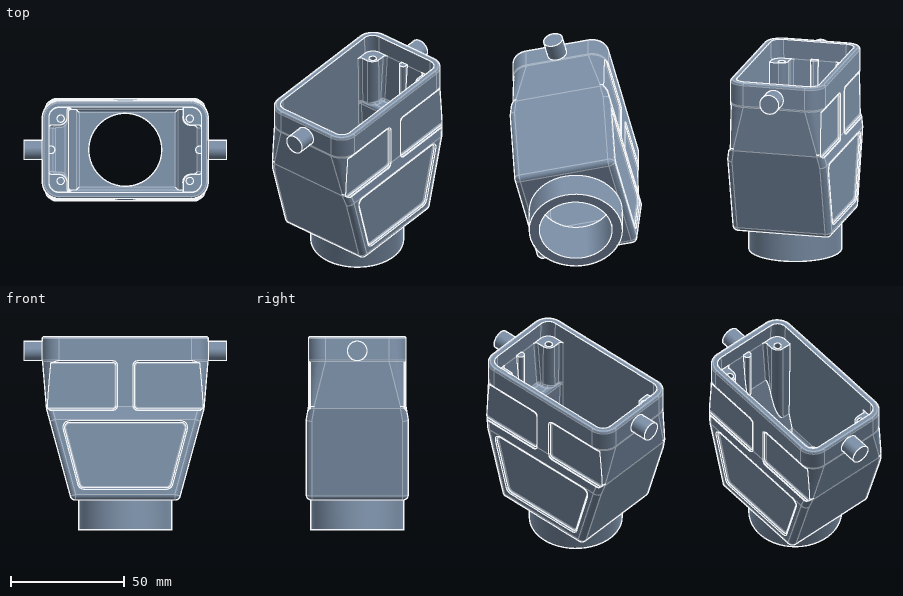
import cadquery as cq
import math

TOTAL_HEIGHT = 85.1
NECK_HEIGHT = 13.1
FLOOR_Z = 21.3
BULGE_Z = 48.6
KINK_Z = 53.4
SHOULDER_Z = 54.3
COLLAR_Z = 74.2
COLLAR_STEP = 0.6
POST_TOP_Z = 76.5

COLLAR_HALF_X = 36.6
COLLAR_HALF_Y = 21.5
COLLAR_RADIUS = 7.5
COLLAR_OVERHANG = 0.15
KINK_HALF_X = 34.7
BOTTOM_HALF_X = 23.7
BODY_HALF_Y = 22.5
BODY_FILLET = 2.5
RIM_FILLET = 0.9

NECK_DIAMETER = 41.0
NECK_OVERLAP = 1.0
BORE_DIAMETER = 32.0
PEG_DIAMETER = 8.6
PEG_SPAN = 89.2
PEG_Z = 78.8

RECESS_DEPTH = 1.0
RECESS_DRAFT = 15.0
RECESS_RIM_DEPTH = 0.45
RECESS_RIM_RUN = 0.7
RECESS_FLOOR_FILLET = 0.45
WINDOW_HALF_GAP = 3.4
WINDOW_TOP_Z = 74.5
WINDOW_BOTTOM_Z = 52.6
WINDOW_RADIUS = 2.2
PANEL_TOP_Z = 48.1
PANEL_BOTTOM_Z = 17.9
PANEL_TOP_HALF_X = 28.3
PANEL_BOTTOM_HALF_X = 20.3
PANEL_RADIUS = 3.0

MOUTH_HALF_X = 33.6
MOUTH_HALF_Y = 18.8
MOUTH_RADIUS = 4.5
FLOOR_HALF_Y = 17.6
POCKET_HALF_X = 31.6
LEDGE_WALL_X = 24.9
LEDGE_FLOOR_X = 21.2
FOOT_FILLET = 1.3
LEDGE_INNER_FILLET = 1.0
LEDGE_OUTER_FILLET = 1.6

POST_INNER_X = 25.6
POST_INNER_Y = 10.9
POST_RADIUS = 3.5
POST_WALL_FILLET = 1.3
POST_DRAFT = 0.4
SCREW_X = 28.4
SCREW_Y = 13.7
SCREW_DIAMETER = 3.2
SCREW_DEPTH = 12.0
RIB_TIP_X = 31.0
RIB_HALF_WIDTH = 1.6
RIB_NOSE_RADIUS = 1.5
RIB_TOP_Z = 77.0

END_SLOPE = (KINK_HALF_X - BOTTOM_HALF_X) / (KINK_Z - NECK_HEIGHT)
UPPER_HALF_X = COLLAR_HALF_X - COLLAR_OVERHANG
UPPER_SLOPE = (UPPER_HALF_X - KINK_HALF_X) / (COLLAR_Z - KINK_Z)
SHOULDER_HALF_X = KINK_HALF_X + UPPER_SLOPE * (SHOULDER_Z - KINK_Z)
UPPER_HALF_Y = COLLAR_HALF_Y


def rounded_rect(half_x, half_y, radius, z):
    """Sketch of a rounded rectangle centred on the Z axis."""
    sketch = cq.Sketch().rect(2 * half_x, 2 * half_y).vertices().fillet(radius)
    return sketch.moved(cq.Location(cq.Vector(0, 0, z)))


def ruled_between(lower, upper):
    return cq.Workplane("XY").placeSketch(lower, upper).loft(ruled=True)


def prism_along_y(points, half_length):
    return cq.Workplane("XZ").polyline(points).close().extrude(half_length, both=True)


def prism_along_x(points, half_length):
    return cq.Workplane("YZ").polyline(points).close().extrude(half_length, both=True)


def mirrored(points):
    """Right-hand outline points joined to their mirror image."""
    return points + [(-a, b) for a, b in reversed(points)]


def make_lower_body():
    ends = prism_along_y(
        mirrored([(BOTTOM_HALF_X, NECK_HEIGHT), (KINK_HALF_X, KINK_Z), (SHOULDER_HALF_X, SHOULDER_Z)]),
        BODY_HALF_Y,
    )
    sides = prism_along_x(
        mirrored([(BODY_HALF_Y, NECK_HEIGHT), (BODY_HALF_Y, BULGE_Z), (UPPER_HALF_Y, SHOULDER_Z)]),
        COLLAR_HALF_X,
    )
    body = ends.intersect(sides)
    upright = body.edges("not(#Z)")
    return upright.add(body.edges("<Z")).fillet(BODY_FILLET)


def make_upper_body():
    return ruled_between(
        rounded_rect(SHOULDER_HALF_X, UPPER_HALF_Y, BODY_FILLET, SHOULDER_Z),
        rounded_rect(UPPER_HALF_X, UPPER_HALF_Y, COLLAR_RADIUS, COLLAR_Z),
    )


def make_collar():
    step_top = COLLAR_Z + COLLAR_STEP
    step = ruled_between(
        rounded_rect(UPPER_HALF_X, UPPER_HALF_Y, COLLAR_RADIUS, COLLAR_Z),
        rounded_rect(COLLAR_HALF_X, COLLAR_HALF_Y, COLLAR_RADIUS, step_top),
    )
    band = (
        cq.Workplane("XY", origin=(0, 0, step_top))
        .placeSketch(rounded_rect(COLLAR_HALF_X, COLLAR_HALF_Y, COLLAR_RADIUS, 0))
        .extrude(TOTAL_HEIGHT - step_top)
        .faces(">Z")
        .edges()
        .fillet(RIM_FILLET)
    )
    return step.union(band)


def make_neck():
    return cq.Workplane("XY").circle(NECK_DIAMETER / 2).extrude(NECK_HEIGHT + NECK_OVERLAP)


def make_pegs():
    return cq.Workplane("YZ").center(0, PEG_Z).circle(PEG_DIAMETER / 2).extrude(PEG_SPAN / 2, both=True)


def recess_cutter(outline, wall_y, radius):
    """Recess in the -Y wall: rounded corners, eased rim, drafted walls, filleted floor edge."""
    wall_plane = cq.Workplane("XZ", origin=(0, -wall_y, 0))
    rim_outline = cq.Sketch().polygon(outline + outline[:1]).vertices().fillet(radius)
    opening = wall_plane.placeSketch(rim_outline).extrude(BODY_FILLET)
    rim = wall_plane.placeSketch(rim_outline).extrude(
        -RECESS_RIM_DEPTH, taper=math.degrees(math.atan2(RECESS_RIM_RUN, RECESS_RIM_DEPTH))
    )
    hollow = (
        rim.faces(">Y")
        .wires()
        .toPending()
        .workplane()
        .extrude(RECESS_DEPTH - RECESS_RIM_DEPTH, taper=RECESS_DRAFT, combine=False)
        .faces(">Y")
        .edges()
        .fillet(RECESS_FLOOR_FILLET)
    )
    return opening.union(rim).union(hollow)


def cut_on_both_long_walls(body, cutter):
    return body.cut(cutter).cut(cutter.mirror("XZ"))


def cut_panels(body):
    outline = mirrored([(PANEL_BOTTOM_HALF_X, PANEL_BOTTOM_Z), (PANEL_TOP_HALF_X, PANEL_TOP_Z)])
    return cut_on_both_long_walls(body, recess_cutter(outline, BODY_HALF_Y, PANEL_RADIUS))


def cut_windows(body):
    """Windows run out through the rounded corners of the upper body."""
    outer_x = COLLAR_HALF_X + COLLAR_RADIUS
    outline = [
        (WINDOW_HALF_GAP, WINDOW_BOTTOM_Z),
        (outer_x, WINDOW_BOTTOM_Z),
        (outer_x, WINDOW_TOP_Z),
        (WINDOW_HALF_GAP, WINDOW_TOP_Z),
    ]
    cutter = recess_cutter(outline, UPPER_HALF_Y, WINDOW_RADIUS)
    body = cut_on_both_long_walls(body, cutter)
    return cut_on_both_long_walls(body, cutter.mirror("YZ"))


def make_drafted_sides():
    outline = mirrored([(FLOOR_HALF_Y, FLOOR_Z), (MOUTH_HALF_Y, TOTAL_HEIGHT)])
    return prism_along_x(outline, COLLAR_HALF_X)


def make_mouth():
    block = (
        cq.Workplane("XY", origin=(0, 0, POST_TOP_Z))
        .rect(2 * MOUTH_HALF_X, 2 * COLLAR_HALF_Y)
        .extrude(TOTAL_HEIGHT - POST_TOP_Z)
    )
    return block.intersect(make_drafted_sides()).edges("not(#Z)").fillet(MOUTH_RADIUS)


def edge_nearest(body, x, y, z):
    return body.edges(cq.selectors.NearestToPointSelector((x, y, z)))


def make_well():
    """Cavity below the mouth, before the posts and ribs are left standing."""
    right_foot_x = POCKET_HALF_X - END_SLOPE * (KINK_Z - FLOOR_Z)
    ledge_turn_z = FLOOR_Z + (LEDGE_WALL_X - LEDGE_FLOOR_X) / END_SLOPE
    ends = prism_along_y(
        [
            (right_foot_x, FLOOR_Z),
            (POCKET_HALF_X, KINK_Z),
            (MOUTH_HALF_X, POST_TOP_Z),
            (-MOUTH_HALF_X, POST_TOP_Z),
            (-POCKET_HALF_X, KINK_Z),
            (-LEDGE_WALL_X, KINK_Z),
            (-LEDGE_WALL_X, ledge_turn_z),
            (-LEDGE_FLOOR_X, FLOOR_Z),
        ],
        BODY_HALF_Y,
    )
    ends = edge_nearest(ends, -LEDGE_WALL_X, 0, KINK_Z).fillet(LEDGE_OUTER_FILLET)
    return ends.intersect(make_drafted_sides())


def make_post(sign_x, sign_y):
    """Corner post, buried in the walls on its outer sides."""
    size_x = 2 * (COLLAR_HALF_X - POST_INNER_X)
    size_y = 2 * (COLLAR_HALF_Y - POST_INNER_Y)
    return (
        cq.Workplane("XY", origin=(sign_x * COLLAR_HALF_X, sign_y * COLLAR_HALF_Y, POST_TOP_Z))
        .placeSketch(cq.Sketch().rect(size_x, size_y).vertices().fillet(POST_RADIUS))
        .extrude(FLOOR_Z - POST_TOP_Z, taper=-POST_DRAFT)
    )


def fillet_posts_to_walls(cavity):
    """Round the inside corners between the posts and the cavity walls."""
    middle_z = (POST_TOP_Z + KINK_Z) / 2
    wall_x = (MOUTH_HALF_X + POCKET_HALF_X) / 2
    corners = cavity.newObject([])
    for sign_y in (-1, 1):
        for sign_x in (-1, 1):
            at_long_wall = edge_nearest(cavity, sign_x * POST_INNER_X, sign_y * MOUTH_HALF_Y, middle_z)
            at_end_wall = edge_nearest(cavity, sign_x * wall_x, sign_y * POST_INNER_Y, middle_z)
            corners = corners.add(at_long_wall).add(at_end_wall)
    return corners.fillet(POST_WALL_FILLET)


def make_rib(sign_x):
    height = RIB_TOP_Z - FLOOR_Z
    center_x = RIB_TIP_X + RIB_HALF_WIDTH
    inner_side = "<X" if sign_x > 0 else ">X"
    return (
        cq.Workplane("XY", origin=(sign_x * center_x, 0, FLOOR_Z))
        .rect(2 * RIB_HALF_WIDTH, 2 * RIB_HALF_WIDTH)
        .extrude(height)
        .edges("|Z")
        .edges(inner_side)
        .fillet(RIB_NOSE_RADIUS)
    )


def make_cavity():
    cavity = make_well()
    for sign_x in (-1, 1):
        for sign_y in (-1, 1):
            cavity = cavity.cut(make_post(sign_x, sign_y))
    cavity = fillet_posts_to_walls(cavity)
    cavity = edge_nearest(cavity, -POCKET_HALF_X, 0, KINK_Z).fillet(LEDGE_INNER_FILLET)
    cavity = cavity.faces("<Z").edges().fillet(FOOT_FILLET)
    cavity = cavity.union(make_mouth())
    for sign_x in (-1, 1):
        cavity = cavity.cut(make_rib(sign_x))
    return cavity


def cut_screw_holes(body):
    return body.cut(
        cq.Workplane("XY", origin=(0, 0, POST_TOP_Z))
        .rect(2 * SCREW_X, 2 * SCREW_Y, forConstruction=True)
        .vertices()
        .circle(SCREW_DIAMETER / 2)
        .extrude(-SCREW_DEPTH)
    )


def make_hood():
    body = make_lower_body().union(make_upper_body()).union(make_collar())
    body = cut_panels(body)
    body = cut_windows(body)
    body = body.union(make_neck()).union(make_pegs())
    body = body.cut(make_cavity())
    body = cut_screw_holes(body)
    return body.cut(cq.Workplane("XY").circle(BORE_DIAMETER / 2).extrude(FLOOR_Z))


result = make_hood()